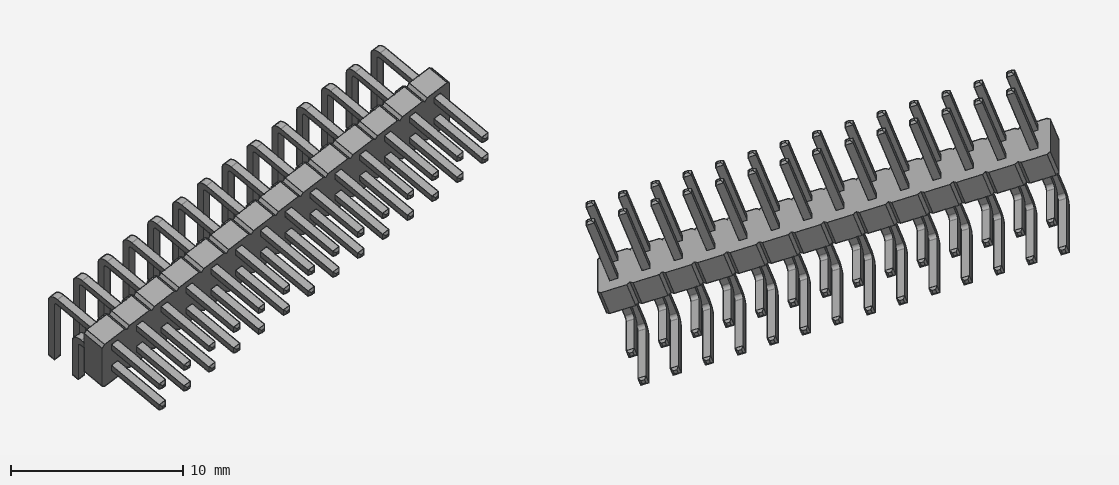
import cadquery as cq


pin_count = 14
row_count = 2
body_length = 28.0
body_thickness = 1.5
body_height = 4.03
overall_height = 6.65
overall_width = 9.45
body_offset = 3.78
notch_size = 0.2
upper_row_drop = 0.75
pin_width = 0.5
inner_bend_radius = 0.25
tip_length = 0.15
tip_inset = 0.15

pitch = body_length / pin_count
upper_axis_z = overall_height - upper_row_drop
outer_bend_radius = inner_bend_radius + pin_width


def body_segment(center_y):
    """One pitch of the body, with its four long X edges chamfered."""
    block = cq.Workplane("XY").box(body_thickness, pitch, body_height)
    block = block.edges("|X").chamfer(notch_size)
    center_x = body_offset + body_thickness / 2
    center_z = overall_height - body_height / 2
    return block.translate((center_x, center_y, center_z))


def bent_pin(leg_x, axis_z, center_y):
    """A square pin running along X, bent down into a leg, with both ends tapered."""
    top = axis_z + pin_width / 2
    bottom = axis_z - pin_width / 2
    leg_inner_x = leg_x + pin_width
    bend_z = top - outer_bend_radius
    pin = (
        cq.Workplane("XZ", origin=(0, center_y, 0))
        .moveTo(leg_x, 0)
        .lineTo(leg_x, bend_z)
        .radiusArc((leg_x + outer_bend_radius, top), outer_bend_radius)
        .lineTo(overall_width, top)
        .lineTo(overall_width, bottom)
        .lineTo(leg_inner_x + inner_bend_radius, bottom)
        .radiusArc((leg_inner_x, bend_z), -inner_bend_radius)
        .lineTo(leg_inner_x, 0)
        .close()
        .extrude(pin_width / 2, both=True)
    )
    pin = pin.faces("<Z").chamfer(tip_length, tip_inset)
    return pin.faces(">X").chamfer(tip_length, tip_inset)


first_y = (pitch - body_length) / 2
segments = []
pins = []
for index in range(pin_count):
    y = first_y + index * pitch
    segments.append(body_segment(y).val())
    for row in range(row_count):
        shift = row * pitch
        pins.append(bent_pin(shift, upper_axis_z - shift, y).val())

body = segments[0].fuse(*segments[1:]).clean()
result = cq.Workplane("XY").newObject(body.fuse(*pins).Solids())